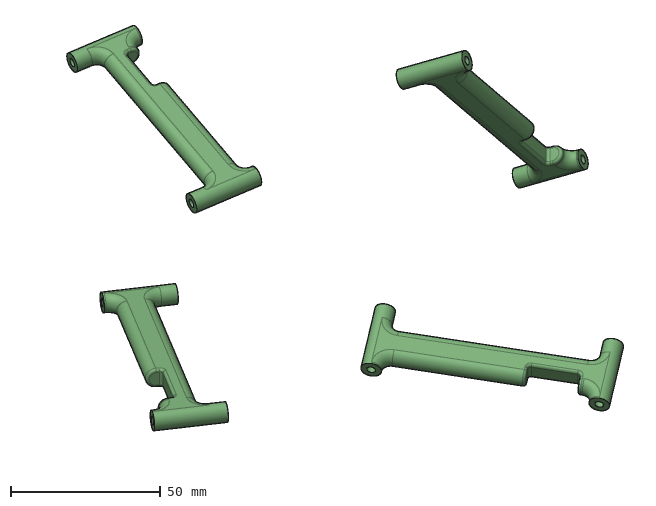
import cadquery as cq

total_length = 84.7
tube_length = 25.3
tube_diameter = 7.0
hole_diameter = 3.0
bar_width = 13.05
bar_offset = 8.7
blend_radius = 3.0
notch_start = 11.6
notch_length = 17.8
notch_floor = 16.2
notch_corner_radius = 1.0
notch_rim_radius = 1.0

tube_radius = tube_diameter / 2
tube_x = total_length / 2 - tube_radius
front_y = -tube_length / 2
bar_front = front_y + bar_offset
bar_back = bar_front + bar_width
edge_axis_front = bar_front + tube_radius
edge_axis_back = bar_back - tube_radius
notch_left = -total_length / 2 + notch_start
notch_bottom = front_y + notch_floor


def cylinder_along_y(x, diameter):
    """Cylinder over the whole tube length."""
    plane = cq.Plane(origin=(x, front_y, 0), xDir=(1, 0, 0), normal=(0, 1, 0))
    return cq.Workplane(plane).circle(diameter / 2).extrude(tube_length)


def make_bar():
    """Flat bar between the tube axes with fully rounded long edges."""
    middle_y = (bar_front + bar_back) / 2
    plane = cq.Plane(origin=(-tube_x, middle_y, 0), xDir=(0, 1, 0), normal=(1, 0, 0))
    return cq.Workplane(plane).slot2D(bar_width, tube_diameter).extrude(2 * tube_x)


def make_blend(side_x, edge_axis_y, side_y):
    """Web in one inside corner, ending in a concave bend with a round edge."""
    reach = blend_radius + tube_radius
    corner_x = side_x * tube_x
    bend_x = corner_x - side_x * reach
    bend_y = edge_axis_y + side_y * reach
    web = (
        cq.Workplane("XY")
        .box(reach, reach, tube_diameter)
        .translate(((corner_x + bend_x) / 2, (edge_axis_y + bend_y) / 2, 0))
    )
    clearance = cq.Workplane("XY").circle(reach).extrude(tube_radius, both=True)
    bend = (
        cq.Workplane("XZ")
        .center(reach, 0)
        .circle(tube_radius)
        .revolve(360, (-reach, 0, 0), (-reach, 1, 0))
    )
    return web.cut(clearance.cut(bend).translate((bend_x, bend_y, 0)))


def trim_tube_ends(body):
    """Remove whatever the blends leave beyond the tube ends."""
    limits = cq.Workplane("XY").box(total_length, tube_length, tube_diameter)
    return body.intersect(limits)


def cut_notch(body):
    """Notch in the back edge with rounded corners and a rounded rim."""
    depth = bar_back - notch_bottom
    cutter = (
        cq.Workplane("XY")
        .box(notch_length, 2 * depth, tube_diameter)
        .edges("|Z and <Y")
        .fillet(notch_corner_radius)
        .translate((notch_left + notch_length / 2, bar_back, 0))
    )
    notched = body.cut(cutter)
    tolerance = 0.01
    rim_zone = cq.selectors.BoxSelector(
        (notch_left - tolerance, notch_bottom - tolerance, -tube_diameter),
        (notch_left + notch_length + tolerance, bar_back + tolerance, tube_diameter),
        boundingbox=True,
    )
    return notched.edges(rim_zone).edges("not |Z").fillet(notch_rim_radius)


result = make_bar()
for side in (-1, 1):
    result = result.union(cylinder_along_y(side * tube_x, tube_diameter))
    result = result.union(make_blend(side, edge_axis_front, -1))
    result = result.union(make_blend(side, edge_axis_back, 1))
result = cut_notch(trim_tube_ends(result))
for side in (-1, 1):
    result = result.cut(cylinder_along_y(side * tube_x, hole_diameter))